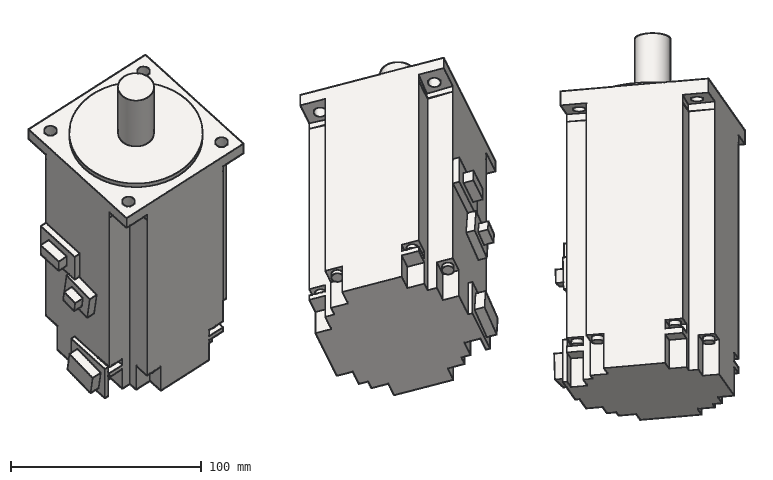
import cadquery as cq

total_height = 197.0
pilot_top = 160.0
flange_top = 157.0
flange_bottom = 149.1
neck_bottom = 145.0
cover_top = 24.0

side = 80.0
half_side = side / 2
pilot_diameter = 70.0
shaft_diameter = 19.0

mounting_spacing = 63.6
mounting_hole_diameter = 6.7

notch_width = 14.0
neck_extra_depth = 0.5
notch_wall = -half_side + notch_width

recess_depth = 8.9
recess_width = 9.5
ledge_top = 19.3
ledge_bottom = 16.0
screw_head_diameter = 6.3
screw_head_height = 2.5
screw_inset = 4.5
screw_from_notch = 5.1

connector_tilt = -7


def box_between(low, high):
    """Axis-aligned box spanning two opposite corner points."""
    lengths = [b - a for a, b in zip(low, high)]
    return cq.Workplane("XY").box(*lengths, centered=False).translate(low)


def cylinder(diameter, bottom, top, center=(0, 0)):
    return cq.Workplane("XY", origin=(*center, bottom)).circle(diameter / 2).extrude(top - bottom)


def corner_notch():
    """Full-length notch of the (-X, -Y) corner with its deeper upper end."""
    notch = box_between((-half_side, -half_side, 0), (notch_wall, notch_wall, neck_bottom))
    deeper_end = (
        cq.Workplane("XY", origin=(0, 0, neck_bottom))
        .moveTo(-half_side, -half_side)
        .lineTo(notch_wall, -half_side)
        .lineTo(notch_wall + neck_extra_depth, notch_wall + neck_extra_depth)
        .lineTo(-half_side, notch_wall)
        .close()
        .extrude(flange_bottom - neck_bottom)
    )
    return notch.union(deeper_end)


def side_recess(bottom, top):
    """Recess in the -X face, next to the (-X, -Y) notch."""
    low = (-half_side, notch_wall, bottom)
    high = (-half_side + recess_depth, notch_wall + recess_width, top)
    return box_between(low, high)


def front_recess(bottom, top):
    """Recess in the -Y face, next to the (-X, -Y) notch."""
    low = (notch_wall, -half_side, bottom)
    high = (notch_wall + recess_width, -half_side + recess_depth, top)
    return box_between(low, high)


def screw_head(center, ceiling):
    return cylinder(screw_head_diameter, ceiling - screw_head_height, ceiling, center)


def connector(center, plate_size, plate_depth, block_size, reach, plate_tilt=0, block_tilt=0):
    """Rectangular plate on the -Y face carrying a smaller block; depths run from that face."""
    x, z = center
    face = cq.Workplane("XZ", origin=(x, -half_side, z))
    plate = face.transformed(rotate=(0, 0, plate_tilt)).rect(*plate_size).extrude(plate_depth)
    block = face.transformed(rotate=(0, 0, block_tilt)).rect(*block_size).extrude(reach)
    return plate.union(block)


motor = box_between((-half_side, -half_side, 0), (half_side, half_side, flange_top))
motor = motor.union(cylinder(pilot_diameter, flange_top, pilot_top))
motor = motor.union(cylinder(shaft_diameter, pilot_top, total_height))

corner_cut = (
    corner_notch()
    .union(side_recess(ledge_top, cover_top))
    .union(side_recess(0, ledge_bottom))
    .union(front_recess(0, ledge_top))
)
screw_depth = -half_side + screw_inset
screw_offset = notch_wall + screw_from_notch
side_screw = screw_head((screw_depth, screw_offset), cover_top)
front_screw = screw_head((screw_offset, screw_depth), ledge_top)

for quarter in range(4):
    turn = ((0, 0, 0), (0, 0, 1), 90 * quarter)
    motor = motor.cut(corner_cut.rotate(*turn))
    motor = motor.union(side_screw.rotate(*turn))
    motor = motor.union(front_screw.rotate(*turn))

mounting_holes = (
    cq.Workplane("XY", origin=(0, 0, flange_bottom))
    .rect(mounting_spacing, mounting_spacing, forConstruction=True)
    .vertices()
    .circle(mounting_hole_diameter / 2)
    .extrude(flange_top - flange_bottom)
)
motor = motor.cut(mounting_holes)

straight_plate = (27.8, 18.3)
straight_plate_setback = 0.2
straight_connector = connector(
    center=(notch_wall + straight_plate_setback + straight_plate[0] / 2, 85.1),
    plate_size=straight_plate,
    plate_depth=3.5,
    block_size=(14.8, 7.5),
    reach=9.0,
)

tilted_connector = connector(
    center=(5.1, 66.0),
    plate_size=(19.1, 17.0),
    plate_depth=4.7,
    block_size=(9.0, 7.3),
    reach=10.0,
    plate_tilt=connector_tilt,
    block_tilt=connector_tilt,
)

rear_plate = (27.4, 23.6)
rear_connector = connector(
    center=(11.5, rear_plate[1] / 2),
    plate_size=rear_plate,
    plate_depth=2.4,
    block_size=(19.1, 14.0),
    reach=7.9,
    block_tilt=connector_tilt,
)

result = motor.union(straight_connector).union(tilted_connector).union(rear_connector)